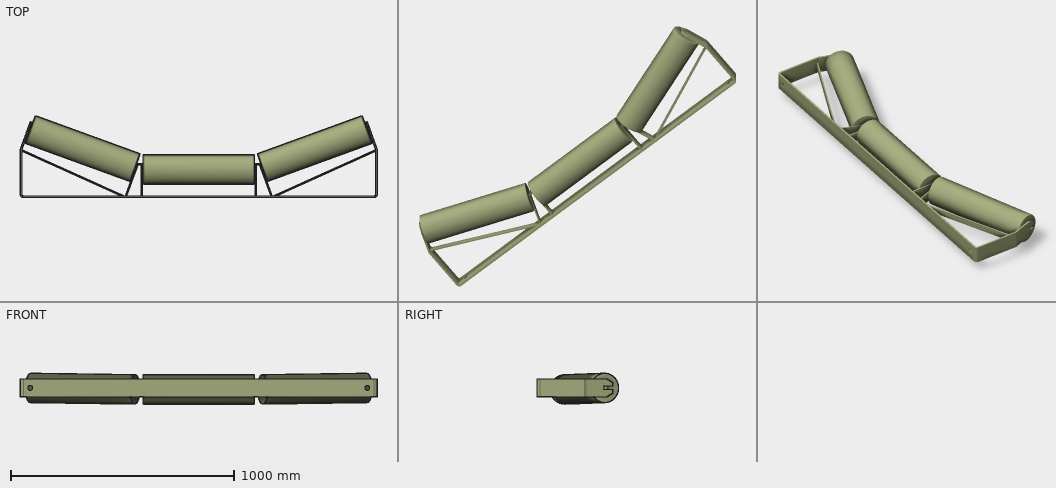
import cadquery as cq
import math

frame_length = 1600.0
strip_width = 80.0
strip_thickness = 8.0
bend_outer_radius = 14.0
side_height = 217.0
ear_length = 132.0
ear_corner_depth = 28.0
ear_corner_width = 17.0
mounting_hole_diameter = 22.0
mounting_hole_inset = 45.0

trough_angle = 20.0
roller_diameter = 133.0
roller_length = 500.0
rim_chamfer_length = 5.0
rim_chamfer_depth = 1.0
shaft_diameter = 20.0
shaft_flat_width = 15.0
slot_cut_depth = 80.0
slot_overrun = 1.0
centre_roller_height = 126.2
wing_roller_x = 520.0
wing_roller_y = 219.8
inner_axis_drop = 6.9

bracket_thickness = 6.0
bracket_width = 45.0
bracket_height = 152.0
bracket_gap = 2.0

strut_width = 30.0
strut_thickness = 6.0
strut_side_y = 211.0
strut_base_x = 342.0

slope = math.radians(trough_angle)
half_frame = frame_length / 2
half_roller = roller_length / 2
axis_x, axis_y = math.cos(slope), math.sin(slope)
ear_x, ear_y = -math.sin(slope), math.cos(slope)

ear_outer_face = (half_frame - wing_roller_x) * axis_x + (side_height - wing_roller_y) * axis_y
ear_inner_face = ear_outer_face - strip_thickness
leg_roller_face = -half_roller - bracket_gap
leg_back_face = leg_roller_face - bracket_thickness
wing_tilt = math.asin(inner_axis_drop / (ear_outer_face - leg_back_face))
wing_roller_z = -ear_outer_face * math.sin(wing_tilt)

upright_roller_face_x = half_roller + bracket_gap
upright_back_face_x = upright_roller_face_x + bracket_thickness

wing_plane = cq.Plane(
    origin=(wing_roller_x, wing_roller_y, wing_roller_z),
    xDir=(axis_x * math.sin(wing_tilt), axis_y * math.sin(wing_tilt), -math.cos(wing_tilt)),
    normal=(axis_x * math.cos(wing_tilt), axis_y * math.cos(wing_tilt), math.sin(wing_tilt)),
)
centre_plane = cq.Plane(
    origin=(0, centre_roller_height, -inner_axis_drop), xDir=(0, 0, -1), normal=(1, 0, 0)
)


def mirrored(body):
    """The same body on the other side of the part's middle."""
    return body.mirror("YZ")


def slab(points, width):
    """Extrude an XY outline symmetrically about the strip mid-plane."""
    return cq.Workplane("XY").polyline(points).close().extrude(width / 2, both=True)


def sloping_face_x(distance, y):
    """X at height y on the plane square to the wing axis, at a distance along that axis."""
    return wing_roller_x + (distance - (y - wing_roller_y) * axis_y) / axis_x


def roller(plane, shaft_start, shaft_end):
    """Barrel with chamfered rims on a flatted shaft, along the normal of its plane."""
    barrel = cq.Workplane(plane).workplane(offset=-half_roller).circle(roller_diameter / 2)
    barrel = barrel.extrude(roller_length)
    barrel = barrel.edges("%CIRCLE").chamfer(rim_chamfer_length, rim_chamfer_depth)
    shaft_length = shaft_end - shaft_start
    shaft = cq.Workplane(plane).workplane(offset=shaft_start).circle(shaft_diameter / 2)
    shaft = shaft.extrude(shaft_length)
    flats = cq.Workplane(plane).workplane(offset=shaft_start)
    flats = flats.rect(shaft_flat_width, shaft_diameter).extrude(shaft_length)
    return barrel.union(shaft.intersect(flats))


def seat_slot(plane, start, end):
    """Slot that holds a shaft and opens upwards, between two distances along the roller axis."""
    slot = cq.Workplane(plane).workplane(offset=start - slot_overrun)
    slot = slot.center(0, (slot_cut_depth - shaft_diameter) / 2)
    return slot.rect(shaft_flat_width, slot_cut_depth).extrude(end - start + 2 * slot_overrun)


wing_roller = roller(wing_plane, leg_back_face, ear_outer_face)
centre_roller = roller(centre_plane, -upright_back_face_x, upright_back_face_x)


def half_frame_strip():
    """Right half of the bent strip, from the part's middle to the tip of its ear."""
    inner_bend_drop = strip_thickness * math.tan(slope / 2)
    tip_x = half_frame + ear_length * ear_x
    tip_y = side_height + ear_length * ear_y
    strip = slab(
        [
            (0, 0),
            (half_frame, 0),
            (half_frame, side_height),
            (tip_x, tip_y),
            (tip_x - strip_thickness * axis_x, tip_y - strip_thickness * axis_y),
            (half_frame - strip_thickness, side_height - inner_bend_drop),
            (half_frame - strip_thickness, strip_thickness),
            (0, strip_thickness),
        ],
        strip_width,
    )
    inner_x = half_frame - strip_thickness
    bend_inner_radius = bend_outer_radius - strip_thickness
    for x, y, radius in [
        (half_frame, 0, bend_outer_radius),
        (half_frame, side_height, bend_outer_radius),
        (inner_x, strip_thickness, bend_inner_radius),
        (inner_x, side_height - inner_bend_drop, bend_inner_radius),
    ]:
        strip = strip.edges(cq.selectors.NearestToPointSelector((x, y, 0))).fillet(radius)
    return strip


def ear_corner_cutters():
    """Two triangular prisms, square to the ear, that trim its tip corners."""
    half_width = strip_width / 2
    ear_plane = cq.Plane(
        origin=(half_frame, side_height, 0), xDir=(ear_x, ear_y, 0), normal=(axis_x, axis_y, 0)
    )
    corners = cq.Workplane(ear_plane)
    for side in (1, -1):
        corners = corners.moveTo(ear_length, side * half_width)
        corners = corners.lineTo(ear_length - ear_corner_depth, side * half_width)
        corners = corners.lineTo(ear_length, side * (half_width - ear_corner_width)).close()
    return corners.extrude(2 * strip_thickness, both=True)


right_half = half_frame_strip().cut(ear_corner_cutters())
right_half = right_half.cut(seat_slot(wing_plane, ear_inner_face, ear_outer_face))
mounting_hole = cq.Workplane("XZ").center(half_frame - mounting_hole_inset, 0)
mounting_hole = mounting_hole.circle(mounting_hole_diameter / 2).extrude(-strip_thickness)
right_half = right_half.cut(mounting_hole)
frame = right_half.union(mirrored(right_half))


def inner_bracket():
    """Plate on the frame base that seats the centre roller and the inner end of a wing roller."""
    cap_underside = bracket_height - bracket_thickness
    bracket = slab(
        [
            (upright_roller_face_x, strip_thickness),
            (upright_roller_face_x, bracket_height),
            (sloping_face_x(leg_roller_face, bracket_height), bracket_height),
            (sloping_face_x(leg_roller_face, strip_thickness), strip_thickness),
            (sloping_face_x(leg_back_face, strip_thickness), strip_thickness),
            (sloping_face_x(leg_back_face, cap_underside), cap_underside),
            (upright_back_face_x, cap_underside),
            (upright_back_face_x, strip_thickness),
        ],
        bracket_width,
    )
    bracket = bracket.translate((0, 0, -inner_axis_drop))
    bracket = bracket.cut(seat_slot(wing_plane, leg_back_face, leg_roller_face))
    return bracket.cut(seat_slot(centre_plane, upright_roller_face_x, upright_back_face_x))


def strut():
    """Flat bar from the frame base up to the side, its ends cut to lie on the strip."""
    side_x = half_frame - strip_thickness
    rise = strut_side_y - strip_thickness
    run = side_x - strut_base_x
    angle = math.atan2(rise, run)
    half_end_height = strut_thickness / math.cos(angle) / 2
    half_end_length = strut_thickness / math.sin(angle) / 2
    return slab(
        [
            (strut_base_x - half_end_length, strip_thickness),
            (strut_base_x + half_end_length, strip_thickness),
            (side_x, strut_side_y - half_end_height),
            (side_x, strut_side_y + half_end_height),
        ],
        strut_width,
    )


paired_bodies = [wing_roller, inner_bracket(), strut()]
bodies = [frame.val(), centre_roller.val()]
for body in paired_bodies:
    bodies += [body.val(), mirrored(body).val()]

result = cq.Compound.makeCompound(bodies)